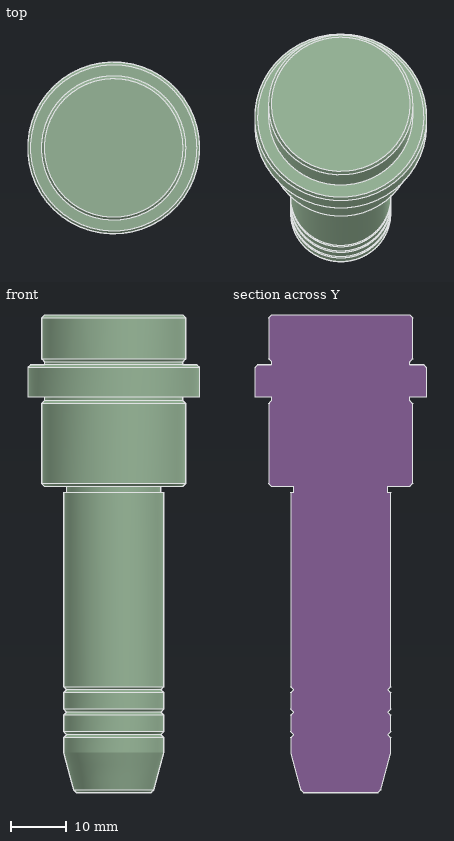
import cadquery as cq

total_height = 86.0
edge = 0.5

head_radius = 13.0
flange_radius = 15.5
pin_radius = 9.0
undercut_radius = head_radius - edge
neck_radius = pin_radius - edge
tip_radius = 7.2

taper_top = 7.2
first_groove = 10.5
groove_pitch = 4.0
groove_count = 3
pin_top = 54.1
collar_bottom = 55.1
collar_top = 70.1
flange_bottom = 71.2
flange_top = 77.05
head_bottom = 78.1


def revolve_profile(profile):
    """Turn a closed half profile about the Z axis."""
    return profile.close().revolve(360, (0, 0, 0), (0, 1, 0))


def make_pin():
    """Pin with a tapered tip, reaching up into the collar."""
    profile = (
        cq.Workplane("XZ")
        .lineTo(tip_radius - edge, 0)
        .lineTo(tip_radius, edge)
        .lineTo(pin_radius, taper_top)
        .lineTo(pin_radius, pin_top)
        .lineTo(neck_radius, pin_top)
        .lineTo(neck_radius, collar_bottom)
        .lineTo(0, collar_bottom)
    )
    return revolve_profile(profile)


def make_head():
    """Collar, flange and head, with an undercut on each side of the flange."""
    profile = (
        cq.Workplane("XZ")
        .moveTo(0, collar_bottom)
        .lineTo(head_radius - edge, collar_bottom)
        .lineTo(head_radius, collar_bottom + edge)
        .lineTo(head_radius, collar_top)
        .lineTo(undercut_radius, collar_top + edge)
        .lineTo(undercut_radius, flange_bottom)
        .lineTo(flange_radius, flange_bottom)
        .lineTo(flange_radius, flange_top - edge)
        .lineTo(flange_radius - edge, flange_top)
        .lineTo(undercut_radius, flange_top)
        .lineTo(undercut_radius, head_bottom - edge)
        .lineTo(head_radius, head_bottom)
        .lineTo(head_radius, total_height - edge)
        .lineTo(head_radius - edge, total_height)
        .lineTo(0, total_height)
    )
    return revolve_profile(profile)


def ring_groove(height):
    """Cutter for a V groove around the pin."""
    profile = (
        cq.Workplane("XZ")
        .moveTo(pin_radius, height - edge)
        .lineTo(pin_radius - edge, height)
        .lineTo(pin_radius, height + edge)
    )
    return revolve_profile(profile)


result = make_pin().union(make_head())
for index in range(groove_count):
    result = result.cut(ring_groove(first_groove + index * groove_pitch))